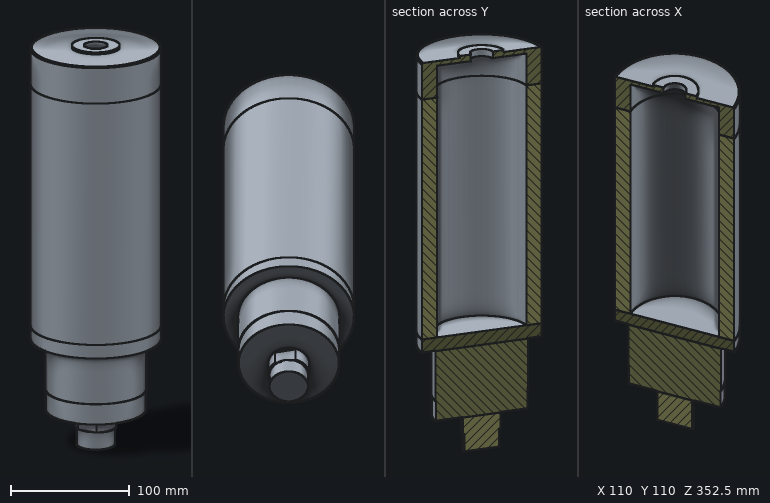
import cadquery as cq

total_height = 352.5
shank_flats_base = 15.5
collar_base = 30.5
collar_step = 48.5
ring_base = 93.0
tube_base = 105.0
cap_base = 318.3

housing_radius = 55.0
collar_lower_radius = 42.3
collar_upper_radius = 42.5
cavity_radius = 40.5
shank_tip_radius = 16.2
shank_radius = 17.3

flat_distance = 14.8
flat_top_margin = 1.0
flat_angle = 22.5

boss_radius = 20.0
boss_height = 1.8
cap_chamfer = 1.0
bore_radius = 10.0
bore_length = 6.5


def cylinder(radius, base, top):
    """Solid cylinder on the Z axis between two heights."""
    return cq.Workplane("XY").workplane(offset=base).circle(radius).extrude(top - base)


def make_shank():
    """Stepped shank with two opposite wrench flats."""
    flats_height = collar_base - flat_top_margin - shank_flats_base
    flats = (
        cq.Workplane("XY")
        .workplane(offset=shank_flats_base)
        .rect(2 * shank_radius, 2 * flat_distance)
        .extrude(flats_height)
        .rotate((0, 0, 0), (0, 0, 1), flat_angle)
    )
    flatted = cylinder(shank_radius, shank_flats_base, shank_flats_base + flats_height).intersect(flats)
    shoulder = cylinder(shank_radius, collar_base - flat_top_margin, collar_base)
    return cylinder(shank_tip_radius, 0, shank_flats_base).union(flatted).union(shoulder)


def make_collar():
    """Collar whose upper length is slightly wider than its lower length."""
    lower = cylinder(collar_lower_radius, collar_base, collar_step)
    upper = cylinder(collar_upper_radius, collar_step, ring_base)
    return lower.union(upper)


def make_tube():
    """Hollow housing tube between the end ring and the cap."""
    return cylinder(housing_radius, tube_base, cap_base).cut(cylinder(cavity_radius, tube_base, cap_base))


def make_cap():
    """Hollow chamfered cap with a central boss whose bore opens into the housing cavity."""
    cap_top = total_height - boss_height
    cavity_top = total_height - bore_length
    disc = cylinder(housing_radius, cap_base, cap_top).faces(">Z").edges().chamfer(cap_chamfer)
    boss = cylinder(boss_radius, cap_top, total_height)
    bore = cylinder(bore_radius, cavity_top, total_height)
    cavity = cylinder(cavity_radius, cap_base, cavity_top)
    return disc.union(boss).cut(bore).cut(cavity)


shank = make_shank()
collar = make_collar()
ring = cylinder(housing_radius, ring_base, tube_base)
tube = make_tube()
cap = make_cap()

result = cq.Compound.makeCompound([shank.val(), collar.val(), ring.val(), tube.val(), cap.val()])